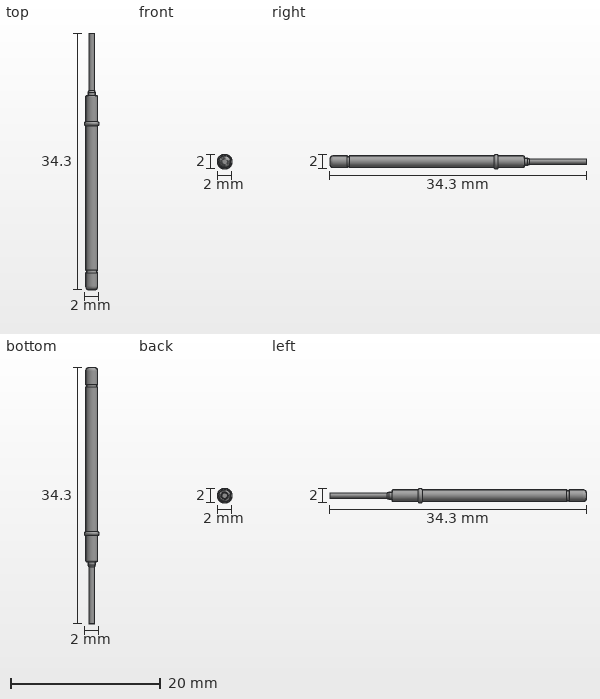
import cadquery as cq
import math

length = 34.3

barrel_radius = 0.805
pin_radius = 0.38
neck_radius = 0.48
collar_radius = 1.0

end_round = 0.45
groove_start = 2.3
groove_width = 0.35
groove_depth = 0.15

collar_start = 21.95
collar_width = 0.55

barrel_end = 26.0
shoulder_round = 0.2
neck_end = 26.7
neck_taper = 0.27


def make_barrel():
    """Barrel with a rounded closed end, a rounded shoulder and the crimp groove."""
    round_offset = end_round * math.sqrt(0.5)
    shoulder_offset = shoulder_round * math.sqrt(0.5)
    groove_bottom = barrel_radius - groove_depth
    profile = (
        cq.Workplane("XY")
        .lineTo(barrel_radius - end_round, 0)
        .threePointArc(
            (barrel_radius - end_round + round_offset, end_round - round_offset),
            (barrel_radius, end_round),
        )
        .lineTo(barrel_radius, groove_start)
        .threePointArc(
            (groove_bottom, groove_start + groove_width / 2),
            (barrel_radius, groove_start + groove_width),
        )
        .lineTo(barrel_radius, barrel_end - shoulder_round)
        .threePointArc(
            (
                barrel_radius - shoulder_round + shoulder_offset,
                barrel_end - shoulder_round + shoulder_offset,
            ),
            (barrel_radius - shoulder_round, barrel_end),
        )
        .lineTo(0, barrel_end)
        .close()
    )
    return revolve_about_y(profile)


def make_collar():
    """Press ring with a convex rim."""
    profile = (
        cq.Workplane("XY")
        .moveTo(0, collar_start)
        .lineTo(barrel_radius, collar_start)
        .threePointArc(
            (collar_radius, collar_start + collar_width / 2),
            (barrel_radius, collar_start + collar_width),
        )
        .lineTo(0, collar_start + collar_width)
        .close()
    )
    return revolve_about_y(profile)


def make_pin():
    """Slender contact pin with a tapered neck where it meets the shoulder."""
    profile = (
        cq.Workplane("XY")
        .moveTo(0, barrel_end)
        .lineTo(neck_radius, barrel_end)
        .lineTo(neck_radius, neck_end - neck_taper)
        .lineTo(pin_radius, neck_end)
        .lineTo(pin_radius, length)
        .lineTo(0, length)
        .close()
    )
    return revolve_about_y(profile)


def revolve_about_y(profile):
    return profile.revolve(360, (0, 0, 0), (0, 1, 0))


result = make_barrel().union(make_collar()).union(make_pin())